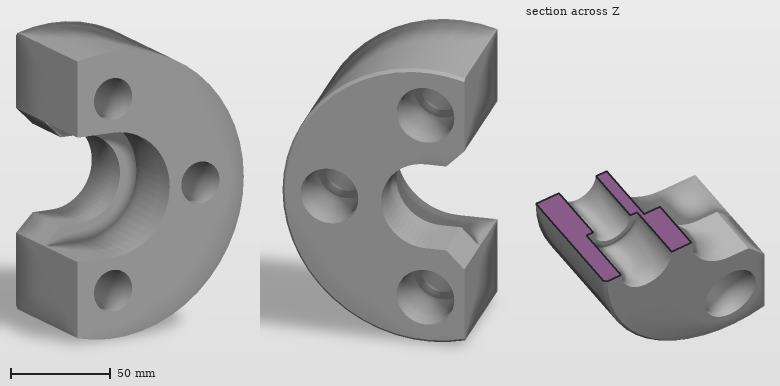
import cadquery as cq

outer_radius = 74.8
thickness = 65.0
cut_offset = 20.2
rim_chamfer = 1.5

slot_radius = 23.0
slot_depth = 29.8
recess_radius = 32.5
mouth_chamfer = recess_radius - slot_radius

bolt_circle_radius = 50.0
bolt_count = 3
bolt_start_angle = -90
bolt_span_angle = 180
hole_radius = 11.0
counterbore_radius = 15.0
counterbore_depth = thickness / 2


def open_slot(radius, start, length):
    """Round-ended slot along the axis, open through the -Y flat."""
    bore = cq.Workplane("YZ", origin=(start, 0, 0)).circle(radius).extrude(length)
    mouth = (
        cq.Workplane("YZ", origin=(start, -cut_offset / 2, 0))
        .rect(cut_offset, 2 * radius)
        .extrude(length)
    )
    return bore.union(mouth)


body = cq.Workplane("YZ").circle(outer_radius).extrude(thickness)
body = body.faces("<X").edges().chamfer(rim_chamfer)
kept_width = outer_radius + cut_offset
kept_block = (
    cq.Workplane("YZ", origin=(0, kept_width / 2 - cut_offset, 0))
    .rect(kept_width, 2 * outer_radius)
    .extrude(thickness)
)
body = body.intersect(kept_block)

body = body.cut(open_slot(slot_radius, 0, slot_depth))
body = body.cut(open_slot(recess_radius, slot_depth, thickness - slot_depth))

chamfer_start = mouth_chamfer - cut_offset
lead_in = (
    cq.Workplane("YZ")
    .moveTo(-cut_offset, -recess_radius)
    .lineTo(chamfer_start, -slot_radius)
    .lineTo(chamfer_start, slot_radius)
    .lineTo(-cut_offset, recess_radius)
    .close()
    .extrude(slot_depth)
)
body = body.cut(lead_in)

bolt_points = cq.Workplane("YZ").polarArray(
    bolt_circle_radius, bolt_start_angle, bolt_span_angle, bolt_count
)
holes = bolt_points.circle(hole_radius).extrude(thickness)
counterbores = bolt_points.circle(counterbore_radius).extrude(counterbore_depth)
result = body.cut(holes).cut(counterbores)